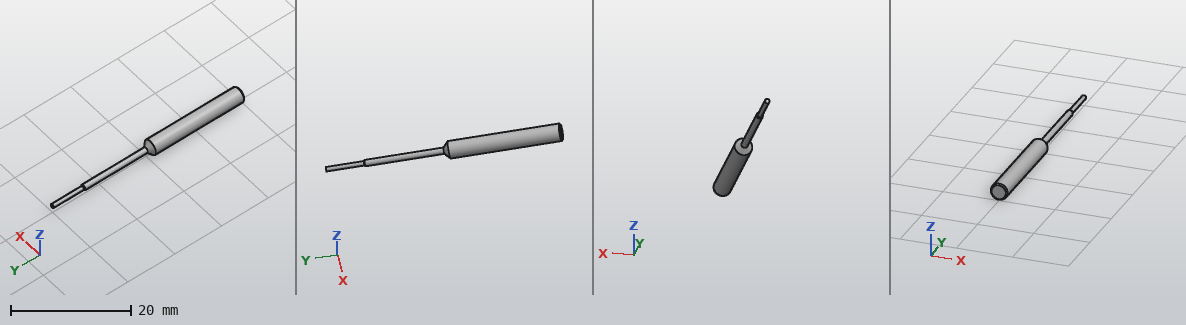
import cadquery as cq

overall_length = 40.0
barrel_diameter = 3.0
rod_diameter = 1.1
tip_diameter = 0.8
tip_length = 6.45
tip_cone_length = 0.2
barrel_shoulder_distance = 20.0
barrel_end_chamfer = 0.25

barrel_radius = barrel_diameter / 2
rod_radius = rod_diameter / 2
tip_radius = tip_diameter / 2

barrel_end = -overall_length / 2
tip_end = overall_length / 2
tip_root = tip_end - tip_length
rod_front = tip_root - tip_cone_length
rod_root = tip_end - barrel_shoulder_distance
barrel_front = rod_root - (barrel_radius - rod_radius)

half_section = [
    (0, barrel_end),
    (barrel_radius - barrel_end_chamfer, barrel_end),
    (barrel_radius, barrel_end + barrel_end_chamfer),
    (barrel_radius, barrel_front),
    (rod_radius, rod_root),
    (rod_radius, rod_front),
    (tip_radius, tip_root),
    (tip_radius, tip_end),
    (0, tip_end),
]

result = (
    cq.Workplane("XY")
    .polyline(half_section)
    .close()
    .revolve(360, (0, 0, 0), (0, 1, 0))
)